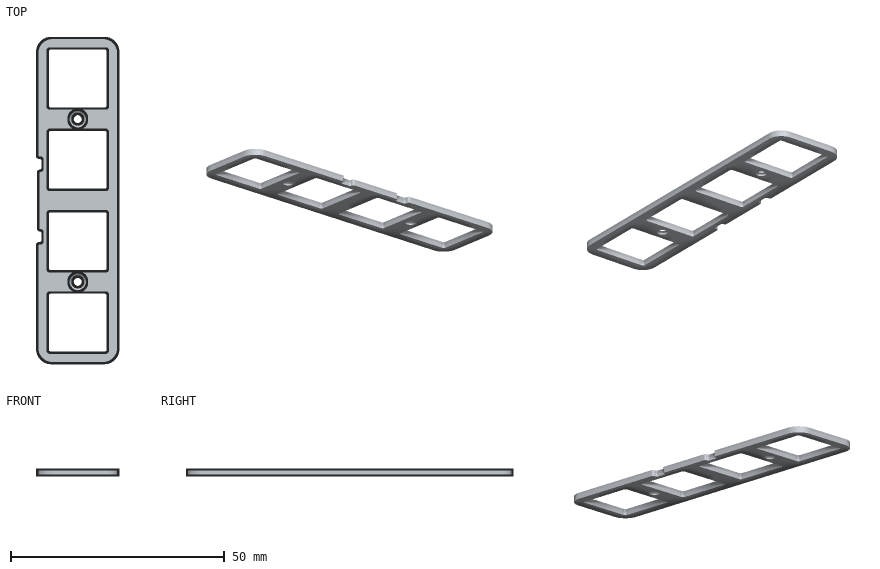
import cadquery as cq

cell_pitch = 19.05
cell_count = 4
plate_width = cell_pitch
plate_length = cell_pitch * cell_count
plate_thickness = 1.5
corner_radius = 3.5

window_size = 14.0
window_corner_radius = 0.5

screw_diameter = 2.4
countersink_diameter = 4.4
countersink_angle = 90.0
screw_offset = cell_pitch

notch_width = 3.0
notch_offset = 8.5
notch_fillet = 0.5
tab_recess = 0.25
notch_depth = tab_recess + 2 * notch_fillet

left_edge = -plate_width / 2
notch_inner = notch_offset - notch_width / 2
notch_outer = notch_offset + notch_width / 2


def make_plate():
    plate = cq.Workplane("XY").box(
        plate_width, plate_length, plate_thickness, centered=(True, True, False)
    )
    return plate.edges("|Z").fillet(corner_radius)


def make_windows():
    window = cq.Workplane("XY").rarray(1, cell_pitch, 1, cell_count)
    window = window.rect(window_size, window_size).extrude(plate_thickness)
    return window.edges("|Z").fillet(window_corner_radius)


def cut_edge_notches(plate):
    """Cut the rounded notches and the tab recess; the -Y half mirrors the +Y half."""
    notch_floor = left_edge + notch_depth
    tab_edge = left_edge + tab_recess
    fillet = notch_fillet
    half_cutter = (
        cq.Workplane("XY")
        .moveTo(left_edge, 0)
        .lineTo(tab_edge, 0)
        .lineTo(tab_edge, notch_inner - fillet)
        .tangentArcPoint((fillet, fillet))
        .tangentArcPoint((fillet, fillet))
        .lineTo(notch_floor, notch_outer - fillet)
        .tangentArcPoint((-fillet, fillet))
        .lineTo(left_edge + fillet, notch_outer)
        .tangentArcPoint((-fillet, fillet))
        .close()
        .extrude(plate_thickness)
    )
    return plate.cut(half_cutter).cut(half_cutter.mirror("XZ"))


def cut_screw_holes(plate):
    centers = [(0, -screw_offset), (0, screw_offset)]
    top = plate.faces(">Z").workplane(origin=(0, 0, plate_thickness))
    return top.pushPoints(centers).cskHole(screw_diameter, countersink_diameter, countersink_angle)


result = cut_edge_notches(make_plate())
result = result.cut(make_windows())
result = cut_screw_holes(result)